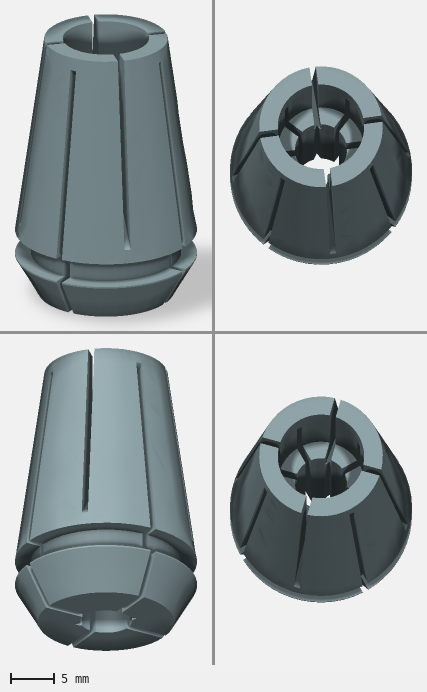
import cadquery as cq
import math

height = 31.5
rim_radius = 10.5
top_radius = 7.12
bottom_radius = 7.85
nose_cone_height = 4.6
groove_bottom = 4.8
groove_top = 7.62
groove_radius = 8.65

clamp_bore_radius = 3.0
relief_bore_radius = 4.98
relief_bore_floor = 18.9

slot_width = 0.72
slot_reach = 12.6
lower_slot_inner_end = 27.72
lower_slot_outer_end = 30.05
upper_slot_inner_end = 15.8
upper_slot_outer_end = 9.2

notch_tip_radius = 3.65
notch_mouth_width = 0.85
notch_angles = (135, 315)


def cone_radius(z):
    """Outer radius of the long taper at height z."""
    return rim_radius + (top_radius - rim_radius) * (z - groove_top) / (height - groove_top)


def make_body():
    profile = [
        (0, 0),
        (bottom_radius, 0),
        (rim_radius, nose_cone_height),
        (rim_radius, groove_bottom),
        (groove_radius, groove_bottom),
        (groove_radius, groove_top),
        (rim_radius, groove_top),
        (top_radius, height),
        (0, height),
    ]
    body = cq.Workplane("XZ").polyline(profile).close().revolve(360, (0, 0), (0, 1))
    clamp_bore = cq.Workplane("XY").circle(clamp_bore_radius).extrude(height)
    relief_bore = (
        cq.Workplane("XY", origin=(0, 0, relief_bore_floor))
        .circle(relief_bore_radius)
        .extrude(height - relief_bore_floor)
    )
    return body.cut(clamp_bore).cut(relief_bore)


def slot_cutter(open_z, inner_radius, inner_end, outer_end, angle):
    """Radial slot from the end at open_z to a sloped face between the bore and the taper."""
    slope = (outer_end - inner_end) / (cone_radius(outer_end) - inner_radius)
    reach_end = inner_end + slope * (slot_reach - inner_radius)
    outline = [
        (0, open_z),
        (slot_reach, open_z),
        (slot_reach, reach_end),
        (inner_radius, inner_end),
        (0, inner_end),
    ]
    cutter = cq.Workplane("XZ").polyline(outline).close().extrude(slot_width / 2, both=True)
    return cutter.rotate((0, 0, 0), (0, 0, 1), angle)


def notch_cutter(angle):
    """Pointed prism from the bore axis outward, leaving a V in the bore wall."""
    mouth_radius = math.sqrt(clamp_bore_radius**2 - (notch_mouth_width / 2) ** 2)
    outline = [
        (mouth_radius, -notch_mouth_width / 2),
        (notch_tip_radius, 0),
        (mouth_radius, notch_mouth_width / 2),
        (0, 0),
    ]
    prism = cq.Workplane("XY").polyline(outline).close().extrude(height)
    return prism.rotate((0, 0, 0), (0, 0, 1), angle)


result = make_body()

for quarter in range(4):
    lower_angle = 90 * quarter
    upper_angle = lower_angle + 45
    result = result.cut(
        slot_cutter(0, relief_bore_radius, lower_slot_inner_end, lower_slot_outer_end, lower_angle)
    )
    result = result.cut(
        slot_cutter(height, clamp_bore_radius, upper_slot_inner_end, upper_slot_outer_end, upper_angle)
    )

for notch_angle in notch_angles:
    result = result.cut(notch_cutter(notch_angle))